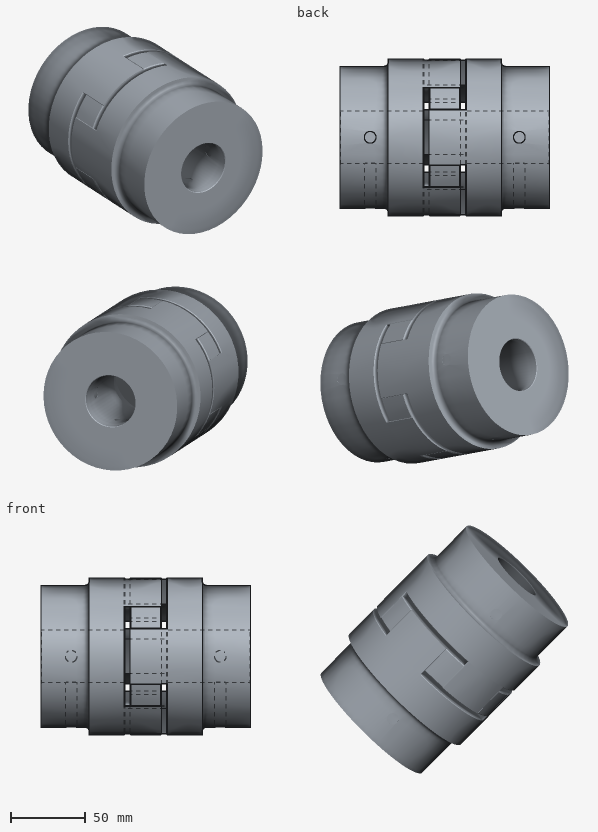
import cadquery as cq
import math


coupling_length = 140.0
jaw_radius = 52.5
neck_radius = 47.5
neck_length = 32.2
neck_fillet = 2.8
bore_radius = 17.5
bore_chamfer = 0.4
hub_length = 56.0

claw_count = 3
pad_count = 2 * claw_count
claw_pitch = 360 / claw_count
pad_pitch = 360 / pad_count
claw_inner_radius = 35.5
claw_end_gap = 3.5
jaw_chamfer = 0.4
pad_inner_half_width = 6.7
pad_outer_half_width = 8.3
pad_bulge = 1.05
spider_bore_radius = 25.5
spider_chamfer = 0.5

screw_radius = 3.9
screw_from_end = 20.2
screw_angles = (0, -90)

half_length = coupling_length / 2
hub_face_x = half_length - hub_length
spider_half_length = hub_face_x - claw_end_gap
claw_length = hub_face_x + spider_half_length
screw_x = screw_from_end - half_length
pad_inner_angle = math.degrees(math.asin(pad_inner_half_width / claw_inner_radius))
pad_outer_angle = math.degrees(math.asin(pad_outer_half_width / jaw_radius))


def polar(radius, angle):
    """Point in the YZ plane; the angle runs from +Y towards +Z, in degrees."""
    return (radius * math.cos(math.radians(angle)), radius * math.sin(math.radians(angle)))


def flank(pad_angle, side):
    """Inner, middle and outer point of a pad's bulging flank; side is 1 or -1 (counterclockwise or not)."""
    inner = polar(claw_inner_radius, pad_angle + side * pad_inner_angle)
    outer = polar(jaw_radius, pad_angle + side * pad_outer_angle)
    run_y = outer[0] - inner[0]
    run_z = outer[1] - inner[1]
    shift = side * pad_bulge / math.hypot(run_y, run_z)
    middle = ((inner[0] + outer[0]) / 2 - shift * run_z, (inner[1] + outer[1]) / 2 + shift * run_y)
    return inner, middle, outer


def between_flanks(first_flank, last_flank, mid_angle, start_x, length):
    """Prism from the claws' inner radius to the outside, between two flanks."""
    first_inner, first_middle, first_outer = first_flank
    last_inner, last_middle, last_outer = last_flank
    return (
        cq.Workplane("YZ", origin=(start_x, 0, 0))
        .moveTo(*first_inner)
        .threePointArc(first_middle, first_outer)
        .threePointArc(polar(jaw_radius, mid_angle), last_outer)
        .threePointArc(last_middle, last_inner)
        .threePointArc(polar(claw_inner_radius, mid_angle), first_inner)
        .close()
        .extrude(length)
    )


def make_claw(angle):
    """Claw on the left hub's face between two neighbouring pads, chamfered along its outer flank edges.

    It starts inside the flange by the chamfer, so that it covers the flange's chamfer.
    """
    first_flank = flank(angle - pad_pitch / 2, 1)
    last_flank = flank(angle + pad_pitch / 2, -1)
    claw = between_flanks(first_flank, last_flank, angle, -hub_face_x - jaw_chamfer, claw_length + jaw_chamfer)
    corners = [first_flank[2], last_flank[2]]
    for y, z in corners:
        claw = claw.edges(cq.selectors.NearestToPointSelector((0, y, z))).chamfer(jaw_chamfer)
    return claw


def make_pad(angle):
    """Spider pad with bulging flanks."""
    return between_flanks(
        flank(angle, -1), flank(angle, 1), angle, -spider_half_length, 2 * spider_half_length
    )


def cylinder_along_x(radius, start_x, length):
    return cq.Workplane("YZ", origin=(start_x, 0, 0)).circle(radius).extrude(length)


def radial_rod(angle, start_radius, end_radius):
    """Rod of set screw diameter, pointing away from the left hub's axis."""
    direction = cq.Vector(0, *polar(1, angle))
    start = cq.Vector(screw_x, 0, 0) + direction * start_radius
    rod = cq.Solid.makeCylinder(screw_radius, end_radius - start_radius, start, direction)
    return cq.Workplane(obj=rod)


def make_hub(first_claw_angle):
    """Left hub: neck, jaw flange, claws, bore and set screw holes."""
    neck = cylinder_along_x(neck_radius, -half_length, neck_length)
    flange = cylinder_along_x(jaw_radius, neck_length - half_length, hub_length - neck_length)
    flange = flange.faces(">X").edges().chamfer(jaw_chamfer)
    hub = neck.union(flange)
    hub = hub.edges(cq.selectors.RadiusNthSelector(0)).edges(">X").fillet(neck_fillet)
    for index in range(claw_count):
        hub = hub.union(make_claw(first_claw_angle + index * claw_pitch))
    hub = hub.cut(cylinder_along_x(bore_radius, -half_length, hub_length))
    hub = hub.faces("<X").edges(cq.selectors.RadiusNthSelector(0)).chamfer(bore_chamfer)
    for angle in screw_angles:
        hub = hub.cut(radial_rod(angle, 0, jaw_radius))
    return hub


def make_spider():
    """Ring with six pads, chamfered round the outside."""
    length = 2 * spider_half_length
    spider = cylinder_along_x(claw_inner_radius, -spider_half_length, length)
    for index in range(pad_count):
        spider = spider.union(make_pad((index + 0.5) * pad_pitch))
    envelope = cylinder_along_x(jaw_radius, -spider_half_length, length).edges().chamfer(spider_chamfer)
    spider = spider.intersect(envelope)
    return spider.cut(cylinder_along_x(spider_bore_radius, -spider_half_length, length))


def make_screw(angle):
    """Set screw of the left hub, its ends within the wall of the neck."""
    end_radius = math.sqrt(neck_radius**2 - screw_radius**2)
    return radial_rod(angle, bore_radius, end_radius)


left_hub = make_hub(0)
right_hub = make_hub(claw_pitch / 2).mirror("YZ")
spider = make_spider()
left_screws = [make_screw(angle) for angle in screw_angles]
right_screws = [screw.mirror("YZ") for screw in left_screws]
screws = left_screws + right_screws

result = cq.Compound.makeCompound(
    [left_hub.val(), right_hub.val(), spider.val(), *[screw.val() for screw in screws]]
)